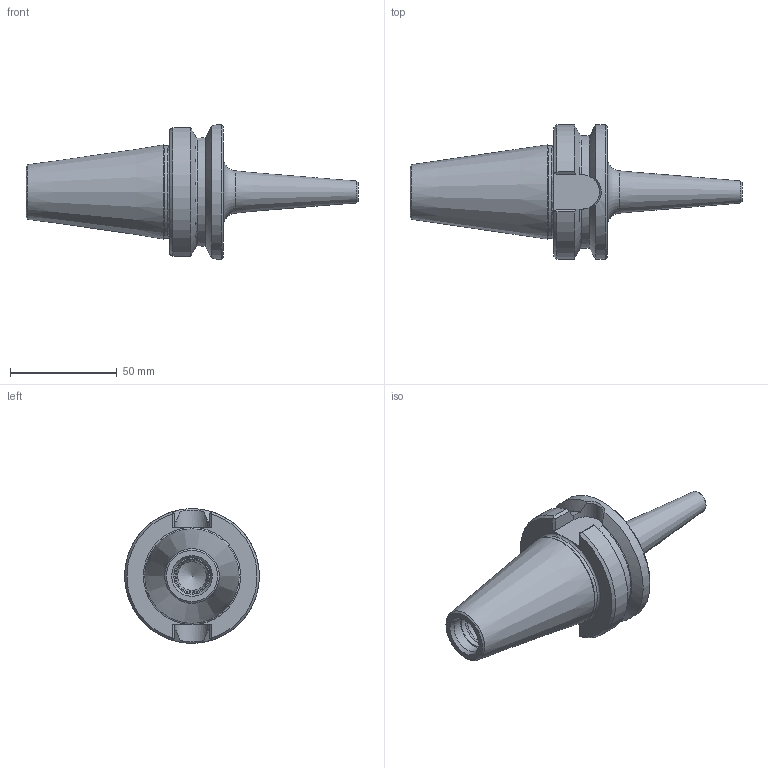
import cadquery as cq
import math

taper_length = 65.4
front_reach = 90.0
gauge_diameter = 44.45
taper_ratio = 7 / 24
taper_end_chamfer = 0.7

taper_front = -1.2
relief_depth = 0.3
relief_ramp = 0.5
relief_fillet = 1.0

flange_diameter = 63.0
flange_back = 2.0
flange_front = 27.0
back_chamfer_length = 1.4
back_chamfer_depth = 1.0
front_chamfer = 1.0
groove_floor_diameter = 53.0
groove_start = flange_back + 9.5
groove_end = flange_front - 5.45
groove_flank_angle = 30.0
groove_back_fillet = 1.0
groove_front_fillet = 0.4

nose_root_fillet = 6.0
nose_angle = 4.75
nose_tip_diameter = 10.2
nose_tip_chamfer = 0.5

slot_width = 16.1
slot_floor_height = 22.5
slot_end = flange_front - 3.7
slot_mouth_chamfer = 1.1
slot_rim_chamfer_width = 1.35
slot_rim_chamfer_height = 1.0
slot_end_chamfer = 0.8
slot_rim_overrun = 2.0

center_cone_diameter = 19.0
center_cone_angle = 60.0
pilot_diameter = 17.0
pilot_depth = 6.2
relief_bore_diameter = 16.0
relief_bore_depth = 8.8
entry_cone_diameter = 15.0
entry_cone_depth = 9.6
thread_diameter = 13.6
thread_start = 12.0
thread_depth = 32.0
drill_tip_angle = 118.0


def make_body():
    """Revolve the outer profile about the X axis."""
    back = -taper_length
    tip = front_reach
    flange_radius = flange_diameter / 2
    floor_radius = groove_floor_diameter / 2
    tip_radius = nose_tip_diameter / 2

    def taper_radius(x):
        return (gauge_diameter + x * taper_ratio) / 2

    relief_radius = taper_radius(taper_front) - relief_depth

    flank_angle = math.radians(groove_flank_angle)
    flank_run = (flange_radius - floor_radius) * math.tan(flank_angle)
    blend_factor = math.tan((math.pi / 2 - flank_angle) / 2)

    def flank_tangent(rim_x, inward, fillet):
        blend = fillet * blend_factor
        x = rim_x + inward * (flank_run - blend * math.sin(flank_angle))
        return (x, floor_radius + blend * math.cos(flank_angle))

    def floor_tangent(rim_x, inward, fillet):
        return (rim_x + inward * (flank_run + fillet * blend_factor), floor_radius)

    angle = math.radians(nose_angle)
    tangent_x = flange_front + nose_root_fillet * (1 - math.sin(angle))
    tangent_radius = tip_radius + (tip - tangent_x) * math.tan(angle)
    fillet_center_x = flange_front + nose_root_fillet
    fillet_center_radius = tangent_radius + nose_root_fillet * math.cos(angle)
    middle = (math.pi / 2 - angle) / 2
    fillet_middle = (
        fillet_center_x - nose_root_fillet * math.cos(middle),
        fillet_center_radius - nose_root_fillet * math.sin(middle),
    )

    profile = (
        cq.Workplane("XY")
        .moveTo(back, 0)
        .lineTo(back, taper_radius(back) - taper_end_chamfer)
        .lineTo(back + taper_end_chamfer, taper_radius(back + taper_end_chamfer))
        .lineTo(taper_front, taper_radius(taper_front))
        .lineTo(taper_front + relief_ramp, relief_radius)
        .lineTo(flange_back - relief_fillet, relief_radius)
        .radiusArc((flange_back, relief_radius + relief_fillet), -relief_fillet)
        .lineTo(flange_back, flange_radius - back_chamfer_depth)
        .lineTo(flange_back + back_chamfer_length, flange_radius)
        .lineTo(groove_start, flange_radius)
        .lineTo(*flank_tangent(groove_start, 1, groove_back_fillet))
        .radiusArc(floor_tangent(groove_start, 1, groove_back_fillet), -groove_back_fillet)
        .lineTo(*floor_tangent(groove_end, -1, groove_front_fillet))
        .radiusArc(flank_tangent(groove_end, -1, groove_front_fillet), -groove_front_fillet)
        .lineTo(groove_end, flange_radius)
        .lineTo(flange_front - front_chamfer, flange_radius)
        .lineTo(flange_front, flange_radius - front_chamfer)
        .lineTo(flange_front, fillet_center_radius)
        .threePointArc(fillet_middle, (tangent_x, tangent_radius))
        .lineTo(tip - nose_tip_chamfer, tip_radius + nose_tip_chamfer * math.tan(angle))
        .lineTo(tip, tip_radius - nose_tip_chamfer)
        .lineTo(tip, 0)
        .close()
    )
    return profile.revolve(360, (0, 0, 0), (1, 0, 0))


def make_drive_slot():
    """Cutter for the +Z drive slot: round-ended, with chamfered mouth and rims."""
    half_width = slot_width / 2
    mouth_half_width = half_width + slot_mouth_chamfer
    rim_half_width = half_width + slot_rim_chamfer_width
    height = flange_diameter / 2 - slot_floor_height
    arc_center = slot_end - half_width
    slot = (
        cq.Workplane("XY", origin=(0, 0, slot_floor_height))
        .moveTo(flange_back, -half_width)
        .lineTo(arc_center, -half_width)
        .threePointArc((slot_end, 0), (arc_center, half_width))
        .lineTo(flange_back, half_width)
        .close()
        .extrude(height)
    )
    mouth = (
        cq.Workplane("XY", origin=(0, 0, slot_floor_height))
        .moveTo(flange_back, -mouth_half_width)
        .lineTo(flange_back + slot_mouth_chamfer, -half_width)
        .lineTo(flange_back + slot_mouth_chamfer, half_width)
        .lineTo(flange_back, mouth_half_width)
        .close()
        .extrude(height)
    )
    rim_height = math.sqrt((flange_diameter / 2) ** 2 - rim_half_width**2)
    rim = (
        cq.Workplane("YZ", origin=(flange_back, 0, 0))
        .moveTo(-half_width, rim_height - slot_rim_chamfer_height)
        .lineTo(-rim_half_width, rim_height)
        .lineTo(-rim_half_width, flange_diameter / 2)
        .lineTo(rim_half_width, flange_diameter / 2)
        .lineTo(rim_half_width, rim_height)
        .lineTo(half_width, rim_height - slot_rim_chamfer_height)
        .close()
        .extrude(groove_start + slot_rim_overrun - flange_back)
    )
    return slot.union(mouth).union(rim)


def make_bore():
    """Cutter for the drawbar bore: centre cone, pilot, stepped entry, threaded length and drill tip."""
    back = -taper_length
    pilot_radius = pilot_diameter / 2
    relief_radius = relief_bore_diameter / 2
    thread_radius = thread_diameter / 2
    cone_radius = center_cone_diameter / 2
    cone_depth = (cone_radius - pilot_radius) / math.tan(math.radians(center_cone_angle / 2))
    tip_length = thread_radius / math.tan(math.radians(drill_tip_angle / 2))
    profile = (
        cq.Workplane("XY")
        .moveTo(back, 0)
        .lineTo(back, cone_radius)
        .lineTo(back + cone_depth, pilot_radius)
        .lineTo(back + pilot_depth, pilot_radius)
        .lineTo(back + pilot_depth, relief_radius)
        .lineTo(back + relief_bore_depth, relief_radius)
        .lineTo(back + entry_cone_depth, entry_cone_diameter / 2)
        .lineTo(back + thread_start, thread_radius)
        .lineTo(back + thread_depth, thread_radius)
        .lineTo(back + thread_depth + tip_length, 0)
        .close()
    )
    return profile.revolve(360, (0, 0, 0), (1, 0, 0))


def chamfer_slot_end(part, side):
    """Break the edge where the round end of a drive slot meets the flange rim."""
    height = side * flange_diameter / 2
    edge_box = cq.selectors.BoxSelector(
        (groove_end, -slot_width / 4, height - slot_end_chamfer),
        (flange_front - front_chamfer, slot_width / 4, height + slot_end_chamfer),
    )
    return part.edges(edge_box).chamfer(slot_end_chamfer)


drive_slot = make_drive_slot()
result = make_body().cut(make_bore())
for side in (1, -1):
    slot_angle = 90 - 90 * side
    result = result.cut(drive_slot.rotate((0, 0, 0), (1, 0, 0), slot_angle))
    result = chamfer_slot_end(result, side)